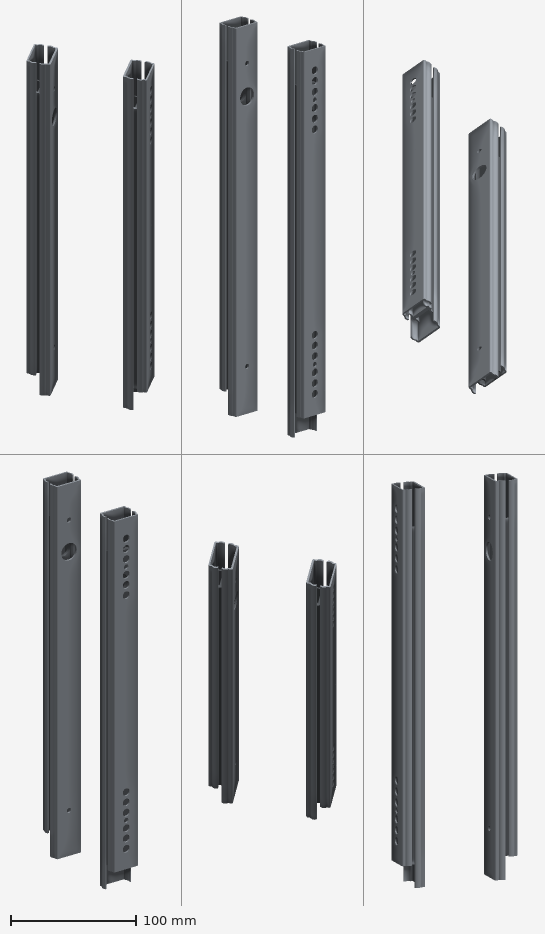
import cadquery as cq
import math

length = 328.0
pair_width = 100.0
slide_height = 26.5
slide_depth = 20.0

track_radius = 4.3
lip_thickness = 1.3
corner_radius = 1.3
outer_bottom = 18.7
outer_wall = 1.3
outer_shoulder_end = 3.0
outer_track_axis = 6.0
outer_lip_reach = 8.2
inner_wall = 1.5
inner_shoulder_end = 3.5
inner_track_axis = 6.5
inner_lip_reach = 9.0

beam_top_setback = 32.0
web_thickness = 3.0
flange_width = 12.0
flange_thickness = 1.3
crown_height = 19.0
crown_half_width = 2.3
groove_bottom = 8.0
groove_rim = 8.5
notch_depth = 0.5
notch_half_width = 1.5

mounting_diameter = 6.5
mounting_holes_per_side = 3
nearest_mounting_offset = 7.0
farthest_mounting_offset = 25.0
outer_pilot_diameter = 4.3
outer_pilot_end_distance = 43.0
inner_pilot_diameter = 4.3
inner_pilot_bottom_z = 40.0
inner_pilot_top_z = 296.0
access_diameter = 15.0
access_z = 268.0

outer_face_x = -pair_width / 2
inner_face_x = outer_face_x + slide_depth
half_height = slide_height / 2
outer_track_x = outer_face_x + outer_track_axis
inner_track_x = inner_face_x - inner_track_axis
beam_axis_x = (outer_track_x + inner_track_x) / 2
track_offset = (inner_track_x - outer_track_x) / 2


def channel(face_x, direction, wall, shoulder_end, track_axis, lip_reach, bottom):
    """C-shaped rail whose lips point along X in the given direction from its flat face."""

    def track_y(depth):
        """Outside half height of the lip at a depth from the face."""
        return half_height - track_radius + math.sqrt(track_radius**2 - (depth - track_axis) ** 2)

    def half(side):
        def place(depth, y):
            return (direction * depth, side * y)

        shoulder_y = track_y(shoulder_end)
        end_y = track_y(lip_reach)
        return (
            cq.Workplane("XY", origin=(face_x, 0, bottom))
            .moveTo(*place(0, 0))
            .lineTo(*place(0, shoulder_y))
            .lineTo(*place(shoulder_end, shoulder_y))
            .threePointArc(place(track_axis, half_height), place(lip_reach, end_y))
            .lineTo(*place(lip_reach, end_y - lip_thickness))
            .threePointArc(
                place(track_axis, half_height - lip_thickness),
                place(shoulder_end, shoulder_y - lip_thickness),
            )
            .lineTo(*place(wall, shoulder_y - lip_thickness))
            .lineTo(*place(wall, 0))
            .close()
            .extrude(length - bottom)
        )

    rail = half(1).union(half(-1)).clean()
    face_side = "<X" if direction > 0 else ">X"
    return rail.edges("|Z and " + face_side).fillet(corner_radius)


def cross_hole(diameter, z):
    """Cutter along X that spans one slide at height z."""
    return (
        cq.Workplane("YZ", origin=(outer_face_x, 0, z))
        .circle(diameter / 2)
        .extrude(slide_depth)
    )


def make_outer_channel():
    rail = channel(
        outer_face_x, 1, outer_wall, outer_shoulder_end, outer_track_axis, outer_lip_reach, outer_bottom
    )
    pitch = (farthest_mounting_offset - nearest_mounting_offset) / (mounting_holes_per_side - 1)
    for pilot_z in (outer_bottom + outer_pilot_end_distance, length - outer_pilot_end_distance):
        rail = rail.cut(cross_hole(outer_pilot_diameter, pilot_z))
        for index in range(mounting_holes_per_side):
            offset = nearest_mounting_offset + index * pitch
            rail = rail.cut(cross_hole(mounting_diameter, pilot_z - offset))
            rail = rail.cut(cross_hole(mounting_diameter, pilot_z + offset))
    return rail


def make_beam():
    """Web with a grooved flange at each end, each flange notched along its middle."""
    beam_length = length - beam_top_setback - outer_bottom
    section = cq.Workplane("XY", origin=(beam_axis_x, 0, outer_bottom))
    half_web = web_thickness / 2
    half_flange = flange_width / 2
    crown_y = crown_height / 2
    beam = section.rect(web_thickness, 2 * groove_bottom).extrude(beam_length)
    beam = beam.cut(cross_hole(access_diameter, access_z))
    for side in (-1, 1):
        for hand in (-1, 1):
            flange = (
                section.moveTo(0, side * (crown_y - notch_depth))
                .lineTo(hand * notch_half_width, side * crown_y)
                .lineTo(hand * crown_half_width, side * groove_rim)
                .threePointArc(
                    (hand * track_offset, side * groove_bottom),
                    (hand * half_flange, side * groove_rim),
                )
                .lineTo(hand * half_flange, side * (groove_rim - flange_thickness))
                .threePointArc(
                    (hand * track_offset, side * (groove_bottom - flange_thickness)),
                    (hand * half_web, side * (groove_rim - flange_thickness)),
                )
                .lineTo(0, side * (groove_rim - flange_thickness))
                .close()
                .extrude(beam_length)
            )
            beam = beam.union(flange)
    return beam


def make_inner_channel():
    rail = channel(
        inner_face_x, -1, inner_wall, inner_shoulder_end, inner_track_axis, inner_lip_reach, 0
    )
    rail = rail.cut(cross_hole(access_diameter, access_z))
    for pilot_z in (inner_pilot_bottom_z, inner_pilot_top_z):
        rail = rail.cut(cross_hole(inner_pilot_diameter, pilot_z))
    return rail


bodies = []
for make_body in (make_outer_channel, make_beam, make_inner_channel):
    left_body = make_body()
    bodies.append(left_body.val())
    bodies.append(left_body.mirror("YZ").val())

result = cq.Compound.makeCompound(bodies)